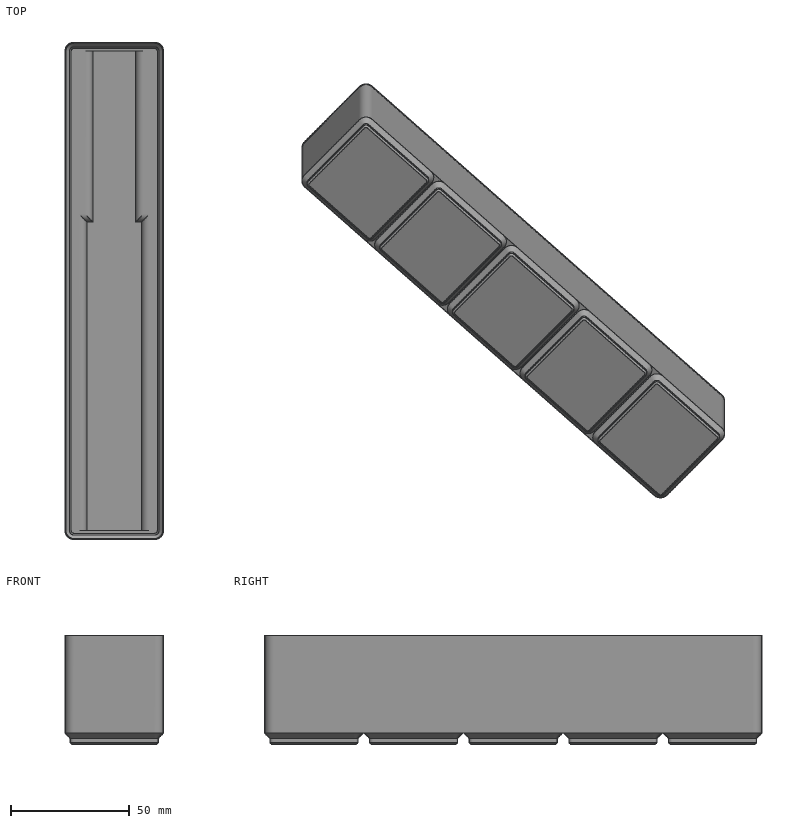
import cadquery as cq

grid_pitch = 42.0
units_long = 5
fit_clearance = 0.5
body_width = grid_pitch - fit_clearance
body_length = units_long * grid_pitch - fit_clearance
body_corner_radius = 3.75

body_top = 42.0
total_height = 46.0

foot_lower_chamfer = 0.8
foot_straight = 1.8
foot_upper_chamfer = 2.15
foot_height = foot_lower_chamfer + foot_straight + foot_upper_chamfer
foot_waist_inset = foot_upper_chamfer
foot_waist_height = foot_straight + foot_lower_chamfer

lip_lower_chamfer = 0.7
lip_straight = 1.8
lip_rim_land = 0.4
lip_upper_chamfer = total_height - body_top - lip_lower_chamfer - lip_straight
lip_waist_inset = lip_rim_land + lip_upper_chamfer

pocket_floor = 7.0
pocket_end_wall = 3.75
wide_pocket_width = 23.0
narrow_pocket_width = 18.0
pocket_rim_radius = 3.0
pocket_step_y = 29.0
pocket_y_min = pocket_end_wall - body_length / 2
pocket_y_max = body_length / 2 - pocket_end_wall

overlap = 1.0

selection_margin = 0.5


def rounded_block(width, length, corner_radius, bottom, height):
    """Upright block with rounded corners, centred on the Z axis."""
    block = cq.Workplane("XY").workplane(offset=bottom).rect(width, length).extrude(height)
    return block.edges("|Z").fillet(corner_radius)


def inset_block(inset, bottom, height):
    """Block following the body outline at a constant inset."""
    return rounded_block(
        body_width - 2 * inset, body_length - 2 * inset, body_corner_radius - inset, bottom, height
    )


def make_foot():
    """Foot of one grid unit: two chamfers with a straight waist between them."""
    waist_width = body_width - 2 * foot_waist_inset
    waist_radius = body_corner_radius - foot_waist_inset
    waist = rounded_block(waist_width, waist_width, waist_radius, 0, foot_height)
    waist = waist.faces("<Z").chamfer(foot_lower_chamfer)
    flare = rounded_block(
        body_width, body_width, body_corner_radius, foot_waist_height, foot_upper_chamfer + overlap
    )
    flare = flare.faces("<Z").chamfer(foot_upper_chamfer)
    return waist.union(flare)


def make_body():
    """Plain block standing on a row of feet."""
    body = inset_block(0, foot_height, total_height - foot_height)
    foot = make_foot()
    for unit in range(units_long):
        foot_y = (unit - (units_long - 1) / 2) * grid_pitch
        body = body.union(foot.translate((0, foot_y, 0)))
    return body


def make_lip_recess():
    """Recess inside the stacking lip that receives the feet of the bin above."""
    waist_top = body_top + lip_lower_chamfer + lip_straight
    waist = inset_block(lip_waist_inset, body_top, total_height - body_top)
    waist = waist.faces("<Z").chamfer(lip_lower_chamfer)
    mouth = inset_block(lip_rim_land, waist_top, lip_upper_chamfer + overlap)
    mouth = mouth.faces("<Z").chamfer(lip_upper_chamfer)
    return waist.union(mouth)


def make_pocket():
    """Stepped pocket: a wide bay and a narrow bay that meet at two shoulders."""
    half_wide = wide_pocket_width / 2
    half_narrow = narrow_pocket_width / 2
    outline = [
        (-half_wide, pocket_y_min),
        (half_wide, pocket_y_min),
        (half_wide, pocket_step_y),
        (half_narrow, pocket_step_y),
        (half_narrow, pocket_y_max),
        (-half_narrow, pocket_y_max),
        (-half_narrow, pocket_step_y),
        (-half_wide, pocket_step_y),
    ]
    sketch = cq.Workplane("XY").workplane(offset=pocket_floor).polyline(outline).close()
    return sketch.extrude(body_top - pocket_floor)


def round_pocket_rim(part):
    """Round over the long rims and the shoulders, leaving the two end rims sharp."""
    half_width = wide_pocket_width / 2 + selection_margin
    rim_box = cq.selectors.BoxSelector(
        (-half_width, pocket_y_min + selection_margin, body_top - selection_margin),
        (half_width, pocket_y_max - selection_margin, body_top + selection_margin),
    )
    return part.edges(rim_box).fillet(pocket_rim_radius)


result = make_body().cut(make_lip_recess()).cut(make_pocket())
result = round_pocket_rim(result)